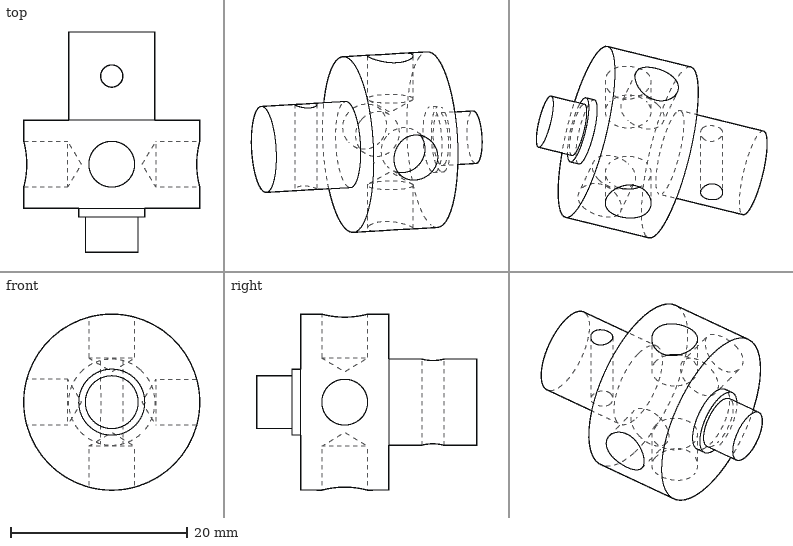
import cadquery as cq
import math

pilot_diameter = 6.0
pilot_length = 4.0
collar_diameter = 7.5
collar_length = 1.0
head_diameter = 20.0
head_length = 10.0
shank_diameter = 9.8
shank_length = 10.0

socket_diameter = 5.2
socket_depth = 5.0
socket_tip_angle = 118.0
socket_count = 4

pin_hole_diameter = 2.5
pin_hole_from_end = 5.0

collar_tip_y = -collar_length
pilot_tip_y = collar_tip_y - pilot_length
shank_end_y = head_length + shank_length


def turned_section(diameter, start_y, length):
    """Cylinder on the Y axis running from start_y toward +Y."""
    return cq.Workplane(cq.Solid.makeCylinder(
        diameter / 2, length, cq.Vector(0, start_y, 0), cq.Vector(0, 1, 0)))


def make_socket():
    """Drill shape entering the head from +Z, with its cone below the full-diameter depth."""
    radius = socket_diameter / 2
    entry_z = head_diameter / 2
    shoulder_z = entry_z - socket_depth
    tip_z = shoulder_z - radius / math.tan(math.radians(socket_tip_angle / 2))
    profile = (
        cq.Workplane("XZ")
        .moveTo(0, tip_z)
        .lineTo(radius, shoulder_z)
        .lineTo(radius, entry_z)
        .lineTo(0, entry_z)
        .close()
    )
    socket = profile.revolve(360, (0, 0, 0), (0, 1, 0))
    return socket.translate((0, head_length / 2, 0))


def make_pin_hole():
    """Cylinder along Z that passes through the whole shank."""
    return (
        cq.Workplane("XY")
        .center(0, shank_end_y - pin_hole_from_end)
        .circle(pin_hole_diameter / 2)
        .extrude(shank_diameter, both=True)
    )


body = (
    turned_section(pilot_diameter, pilot_tip_y, pilot_length)
    .union(turned_section(collar_diameter, collar_tip_y, collar_length))
    .union(turned_section(head_diameter, 0, head_length))
    .union(turned_section(shank_diameter, head_length, shank_length))
)

socket_cutter = make_socket()
for index in range(socket_count):
    turn = index * 360 / socket_count
    body = body.cut(socket_cutter.rotate((0, 0, 0), (0, 1, 0), turn))

result = body.cut(make_pin_hole())